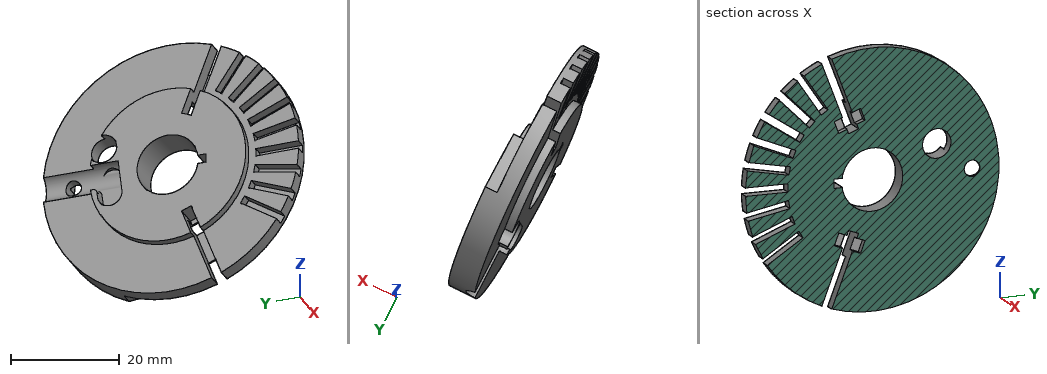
import cadquery as cq
import math

BOSS_FACE = 0.0
DISC_FRONT = 1.55
DISC_BACK = 4.55
POCKET_FLOOR = 4.95
BACK_FACE = 7.0

DISC_RADIUS = 25.3
BOSS_RADIUS = 15.5
HUB_RADIUS = 8.0
POCKET_RADIUS = 21.15

NARROW_RADIUS = 20.25
RIM_END_Y = 10.35
BLEND_START_ANGLE = 64.7

BORE_RADIUS = 6.05
KEY_WIDTH = 1.65
KEY_REACH = 7.6

GUIDE_ANGLE = 69.0
GUIDE_WIDTH = 2.05
GUIDE_INNER = 10.4

NUT_INNER = 11.35
NUT_OUTER = 13.8
NUT_WIDTH = 5.5
NUT_FLOOR = 2.45

NOTCH_COUNT = 9
NOTCH_PITCH = 11.0
NOTCH_FIRST_ANGLE = -32.3
NOTCH_WIDTH = 1.5
NOTCH_DEPTH = 2.05
NOTCH_INNER = 16.85

LARGE_HOLE_RADIUS = 2.8
LARGE_HOLE_Y = 12.85
LARGE_HOLE_Z = 5.5
PIN_HOLE_RADIUS = 1.5
PIN_HOLE_Y = 19.9

GROOVE_RADIUS = 2.65
GROOVE_AXIS_X = 0.75
SLOT_RADIUS = 2.45
SLOT_LENGTH = 3.85
SLOT_LOW_Y = 11.45
SLOT_LOW_Z = -3.95
SLOT_TILT = 7.0
SLOT_FLOOR = 2.85
SLOT_EDGE_ROUND = 0.75


def plane_at(x):
    """Work plane across the axis: local x is Y, local y is Z, normal is +X."""
    return cq.Workplane("YZ", origin=(x, 0, 0))


def disc(radius, start, end):
    return plane_at(start).circle(radius).extrude(end - start)


def radial_bar(angle, inner, outer, width, start, end):
    """Straight bar along a radius, at an angle from -Y turning toward +Z."""
    bar = (
        plane_at(start)
        .center(-(inner + outer) / 2, 0)
        .rect(outer - inner, width)
        .extrude(end - start)
    )
    return bar.rotate((0, 0, 0), (1, 0, 0), -angle)


def back_body():
    """Back layer with the narrow, blended and full-rim outline."""
    start_angle = math.radians(BLEND_START_ANGLE)
    away_y = -math.cos(start_angle)
    away_z = math.sin(start_angle)
    rim_end_z = math.sqrt(DISC_RADIUS**2 - RIM_END_Y**2)

    along = RIM_END_Y * away_y + rim_end_z * away_z
    setback = (DISC_RADIUS**2 - NARROW_RADIUS**2) / (2 * (NARROW_RADIUS - along))
    blend_radius = NARROW_RADIUS + setback
    centre_y = -setback * away_y
    centre_z = -setback * away_z
    first = math.atan2(away_z, away_y)
    last = math.atan2(rim_end_z - centre_z, RIM_END_Y - centre_y)
    middle = (first + last) / 2
    blend_y = centre_y + blend_radius * math.cos(middle)
    blend_z = centre_z + blend_radius * math.sin(middle)
    tangent_y = NARROW_RADIUS * away_y
    tangent_z = NARROW_RADIUS * away_z

    return (
        plane_at(DISC_BACK)
        .moveTo(tangent_y, tangent_z)
        .threePointArc((blend_y, blend_z), (RIM_END_Y, rim_end_z))
        .threePointArc((DISC_RADIUS, 0), (RIM_END_Y, -rim_end_z))
        .threePointArc((blend_y, -blend_z), (tangent_y, -tangent_z))
        .threePointArc((-NARROW_RADIUS, 0), (tangent_y, tangent_z))
        .close()
        .extrude(BACK_FACE - DISC_BACK)
    )


def blank():
    """Disc with its front boss, back body, back pocket and central hub."""
    body = disc(DISC_RADIUS, DISC_FRONT, DISC_BACK)
    body = body.union(disc(BOSS_RADIUS, BOSS_FACE, DISC_FRONT))
    body = body.union(back_body())
    pocket = disc(POCKET_RADIUS, POCKET_FLOOR, BACK_FACE)
    return body.cut(pocket).union(disc(HUB_RADIUS, POCKET_FLOOR, BACK_FACE))


def tilted_about_slot(shape):
    """Lean a shape drawn parallel to Z about the low end centre of the slot."""
    pivot = (0, SLOT_LOW_Y, SLOT_LOW_Z)
    return shape.rotate(pivot, (1, SLOT_LOW_Y, SLOT_LOW_Z), -SLOT_TILT)


def groove_and_slot():
    """Cutter for the +Y groove and its slot, the meeting edges eased."""
    groove = (
        cq.Workplane("ZX", origin=(GROOVE_AXIS_X, 0, 0))
        .circle(GROOVE_RADIUS)
        .extrude(DISC_RADIUS + GROOVE_RADIUS)
    )

    inner_block = (
        plane_at(-DISC_RADIUS)
        .center(SLOT_LOW_Y - SLOT_RADIUS - DISC_RADIUS, SLOT_LOW_Z)
        .rect(2 * DISC_RADIUS, 2 * DISC_RADIUS)
        .extrude(2 * DISC_RADIUS)
    )
    groove = groove.cut(tilted_about_slot(inner_block))

    slot_start = BOSS_FACE - GROOVE_RADIUS
    slot = (
        plane_at(slot_start)
        .center(SLOT_LOW_Y, SLOT_LOW_Z + SLOT_LENGTH / 2)
        .slot2D(SLOT_LENGTH + 2 * SLOT_RADIUS, 2 * SLOT_RADIUS, 90)
        .extrude(SLOT_FLOOR - slot_start)
    )
    cutter = groove.union(tilted_about_slot(slot))

    mouth_y = SLOT_LOW_Y + SLOT_RADIUS
    floor_edge_z = math.sqrt(GROOVE_RADIUS**2 - (SLOT_FLOOR - GROOVE_AXIS_X) ** 2)
    edge_points = (
        (GROOVE_AXIS_X, mouth_y, -GROOVE_RADIUS),
        (SLOT_FLOOR, SLOT_LOW_Y, -floor_edge_z),
        (SLOT_FLOOR, SLOT_LOW_Y, floor_edge_z),
    )
    sharp_edges = [
        cutter.edges(cq.selectors.NearestToPointSelector(point)).val() for point in edge_points
    ]
    return cutter.newObject(sharp_edges).fillet(SLOT_EDGE_ROUND)


result = blank()

result = result.cut(disc(BORE_RADIUS, BOSS_FACE, BACK_FACE))
result = result.cut(radial_bar(0, 0, KEY_REACH, KEY_WIDTH, BOSS_FACE, BACK_FACE))

for guide_angle in (GUIDE_ANGLE, -GUIDE_ANGLE):
    guide = radial_bar(
        guide_angle, GUIDE_INNER, DISC_RADIUS + GUIDE_WIDTH, GUIDE_WIDTH, BOSS_FACE, DISC_BACK
    )
    nut_pocket = radial_bar(
        guide_angle, NUT_INNER, NUT_OUTER, NUT_WIDTH, NUT_FLOOR, POCKET_FLOOR
    )
    result = result.cut(guide).cut(nut_pocket)

for index in range(NOTCH_COUNT):
    notch_angle = NOTCH_FIRST_ANGLE + index * NOTCH_PITCH
    notch = radial_bar(
        notch_angle,
        NOTCH_INNER,
        DISC_RADIUS + NOTCH_WIDTH,
        NOTCH_WIDTH,
        DISC_FRONT,
        DISC_FRONT + NOTCH_DEPTH,
    )
    result = result.cut(notch)

result = result.cut(groove_and_slot())

for hole_y, hole_z, hole_radius in (
    (LARGE_HOLE_Y, LARGE_HOLE_Z, LARGE_HOLE_RADIUS),
    (PIN_HOLE_Y, 0, PIN_HOLE_RADIUS),
):
    hole = plane_at(BOSS_FACE).center(hole_y, hole_z).circle(hole_radius)
    result = result.cut(hole.extrude(BACK_FACE - BOSS_FACE))